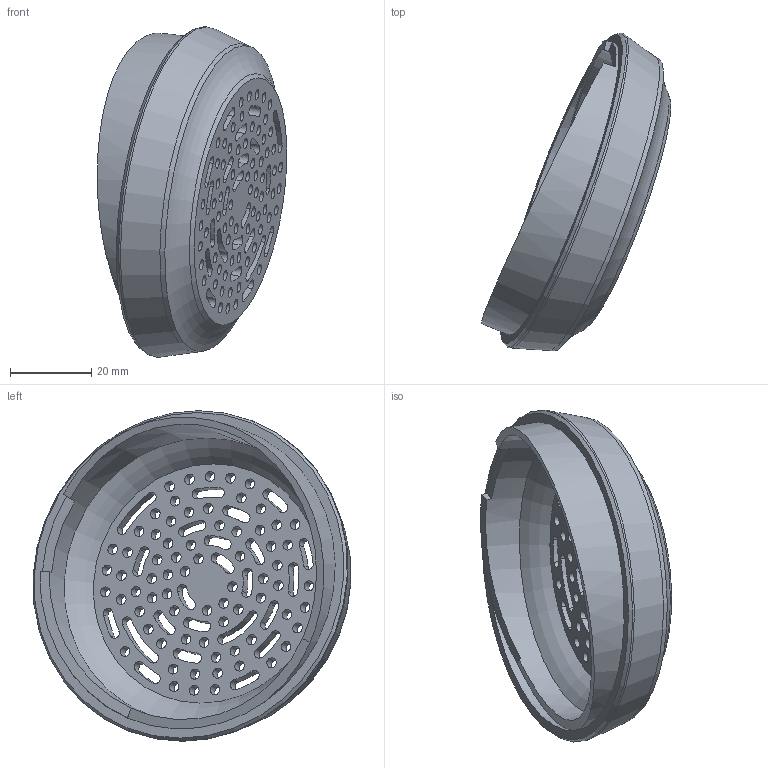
import cadquery as cq
import math

YAW = 20.0
PITCH = 8.7

FACE_RADIUS = 30.85
FACE_EDGE_RADIUS = 31.8
FACE_EDGE_HEIGHT = -0.85
SHOULDER_FRONT_RADIUS = 38.2
SHOULDER_FRONT_HEIGHT = -4.85
SHOULDER_BACK_RADIUS = 38.5
SHOULDER_BACK_HEIGHT = -6.05
BODY_RADIUS = 41.2
BODY_HEIGHT = -15.4
BACK_CORNER_HEIGHT = -15.9
BACK_FACE_RADIUS = 40.6
BACK_FACE_HEIGHT = -16.75
DISH_SAGITTA = 0.5

PLATE_THICKNESS = 3.4
FLOOR_RADIUS = 29.85
BORE_RADIUS = 35.5
BORE_HEIGHT = -9.0
BORE_SAGITTA = 0.5

COLLAR_ROOT_RADIUS = 38.3
COLLAR_TIP_RADIUS = 37.65
COLLAR_INNER_RADIUS = 36.3
COLLAR_STOCK_HEIGHT = -32.0

COLLAR_EDGES = [
    (31.0, 207.0, -20.2, 0.1, -0.19),
    (207.0, 293.0, -22.88, 0.034, -0.22),
    (293.0, 361.0, -14.75, -0.11, -0.05),
    (1.0, 31.0, -17.5, 0.0, 0.0),
]

HOLE_DIAMETER = 2.5
FIRST_RING_RADIUS = 6.7
RING_SPACING = 4.0
GRILLE_RINGS = [
    (9, 27.0, {2: 1, 7: 1}),
    (14, 11.8, {3: 1, 6: 1, 10: 1}),
    (19, 4.8, {3: 1, 7: 1, 11: 2, 16: 1}),
    (23, 9.4, {0: 1, 6: 1, 12: 1, 17: 1}),
    (24, 5.0, {5: 1, 11: 1, 14: 1, 20: 2}),
    (31, 7.1, {2: 2, 10: 1, 13: 1, 20: 1, 25: 1, 28: 1}),
]


def polar(radius, angle):
    """Point at a radius and an angle in degrees about the cap axis."""
    return radius * math.cos(math.radians(angle)), radius * math.sin(math.radians(angle))


def cap_body():
    """Revolved cap with a full-length collar."""
    profile = (
        cq.Workplane("XZ")
        .moveTo(0, 0)
        .lineTo(FACE_RADIUS, 0)
        .lineTo(FACE_EDGE_RADIUS, FACE_EDGE_HEIGHT)
        .sagittaArc((SHOULDER_FRONT_RADIUS, SHOULDER_FRONT_HEIGHT), -DISH_SAGITTA)
        .lineTo(SHOULDER_BACK_RADIUS, SHOULDER_BACK_HEIGHT)
        .lineTo(BODY_RADIUS, BODY_HEIGHT)
        .lineTo(BODY_RADIUS, BACK_CORNER_HEIGHT)
        .lineTo(BACK_FACE_RADIUS, BACK_FACE_HEIGHT)
        .lineTo(COLLAR_ROOT_RADIUS, BACK_FACE_HEIGHT)
        .lineTo(COLLAR_TIP_RADIUS, COLLAR_STOCK_HEIGHT)
        .lineTo(COLLAR_INNER_RADIUS, COLLAR_STOCK_HEIGHT)
        .lineTo(BORE_RADIUS, BORE_HEIGHT)
        .sagittaArc((FLOOR_RADIUS, -PLATE_THICKNESS), BORE_SAGITTA)
        .lineTo(0, -PLATE_THICKNESS)
        .close()
    )
    return profile.revolve(360, (0, 0, 0), (0, 1, 0))


def collar_cutter(start, end, height, slope_x, slope_y):
    """Sector of the collar that lies behind a tilted plane."""
    sector = (
        cq.Workplane("XY", origin=(0, 0, COLLAR_STOCK_HEIGHT))
        .moveTo(0, 0)
        .lineTo(*polar(COLLAR_ROOT_RADIUS, start))
        .threePointArc(polar(COLLAR_ROOT_RADIUS, (start + end) / 2), polar(COLLAR_ROOT_RADIUS, end))
        .close()
        .extrude(-COLLAR_STOCK_HEIGHT)
    )
    edge_plane = cq.Plane(origin=(0, 0, height), xDir=(1, 0, slope_x), normal=(-slope_x, -slope_y, 1))
    kept_side = cq.Workplane(edge_plane).circle(2 * BODY_RADIUS).extrude(-COLLAR_STOCK_HEIGHT)
    return sector.cut(kept_side)


def hole_cutter(radius, angle):
    """Round hole through the grille plate."""
    x, y = polar(radius, angle)
    return (
        cq.Workplane("XY", origin=(x, y, -PLATE_THICKNESS)).circle(HOLE_DIAMETER / 2).extrude(PLATE_THICKNESS)
    )


def slot_cutter(radius, start, end):
    """Round-ended slot curved about the cap axis."""
    inner = radius - HOLE_DIAMETER / 2
    outer = radius + HOLE_DIAMETER / 2
    middle = (start + end) / 2
    arc = (
        cq.Workplane("XY", origin=(0, 0, -PLATE_THICKNESS))
        .moveTo(*polar(inner, start))
        .threePointArc(polar(inner, middle), polar(inner, end))
        .lineTo(*polar(outer, end))
        .threePointArc(polar(outer, middle), polar(outer, start))
        .close()
        .extrude(PLATE_THICKNESS)
    )
    return arc.union(hole_cutter(radius, start)).union(hole_cutter(radius, end))


def ring_cutters(radius, stations, first_angle, slots):
    """Holes and slots of one grille ring."""
    pitch = 360.0 / stations
    cutters = []
    station = 0
    while station < stations:
        angle = first_angle + station * pitch
        reach = slots.get(station, 0)
        if reach:
            cutters.append(slot_cutter(radius, angle, angle + reach * pitch))
        else:
            cutters.append(hole_cutter(radius, angle))
        station += reach + 1
    return cutters


cap = cap_body()
for edge in COLLAR_EDGES:
    cap = cap.cut(collar_cutter(*edge))

openings = []
for index, ring in enumerate(GRILLE_RINGS):
    openings += ring_cutters(FIRST_RING_RADIUS + index * RING_SPACING, *ring)
cap = cq.Workplane(cap.val().cut(*[opening.val() for opening in openings]))

yaw = math.radians(YAW)
pitch_down = math.radians(PITCH)
axis = (
    math.cos(pitch_down) * math.cos(yaw),
    -math.cos(pitch_down) * math.sin(yaw),
    -math.sin(pitch_down),
)
cap_plane = cq.Plane(origin=(0, 0, 0), xDir=(math.sin(yaw), math.cos(yaw), 0), normal=axis)
result = cq.Workplane(cap.val().located(cap_plane.location))